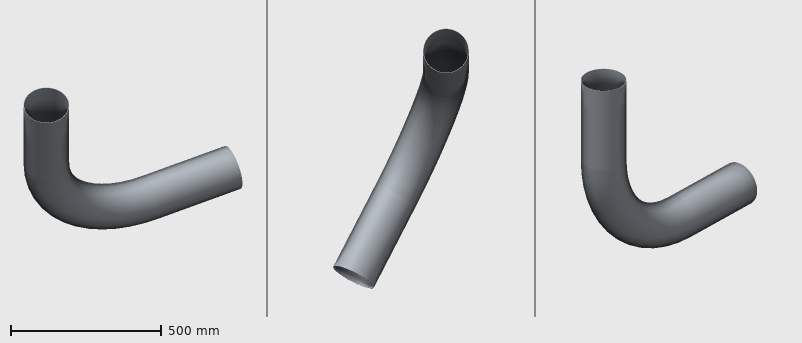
import cadquery as cq

OUTER_DIAMETER = 152.4
INNER_DIAMETER = 149.2
LEG_LENGTH = 304.8
BEND_RADIUS = 2.5 * OUTER_DIAMETER
BEND_ANGLE = 90.0


def tube_section(workplane):
    """Ring-shaped cross-section of the tube, centred on the workplane."""
    return workplane.circle(OUTER_DIAMETER / 2).circle(INNER_DIAMETER / 2)


def vertical_leg():
    """Straight leg rising along +Z from the upper end of the elbow."""
    return tube_section(cq.Workplane("XY")).extrude(LEG_LENGTH)


def elbow():
    """Quarter bend from the vertical leg, at the origin, down and round to +Y."""
    bend_axis_start = (0, BEND_RADIUS)
    bend_axis_end = (1, BEND_RADIUS)
    return tube_section(cq.Workplane("XY")).revolve(BEND_ANGLE, bend_axis_start, bend_axis_end)


def horizontal_leg():
    """Straight leg running along +Y from the lower end of the elbow."""
    lower_end = cq.Plane(origin=(0, BEND_RADIUS, -BEND_RADIUS), xDir=(1, 0, 0), normal=(0, 1, 0))
    return tube_section(cq.Workplane(lower_end)).extrude(LEG_LENGTH)


result = vertical_leg().union(elbow()).union(horizontal_leg())